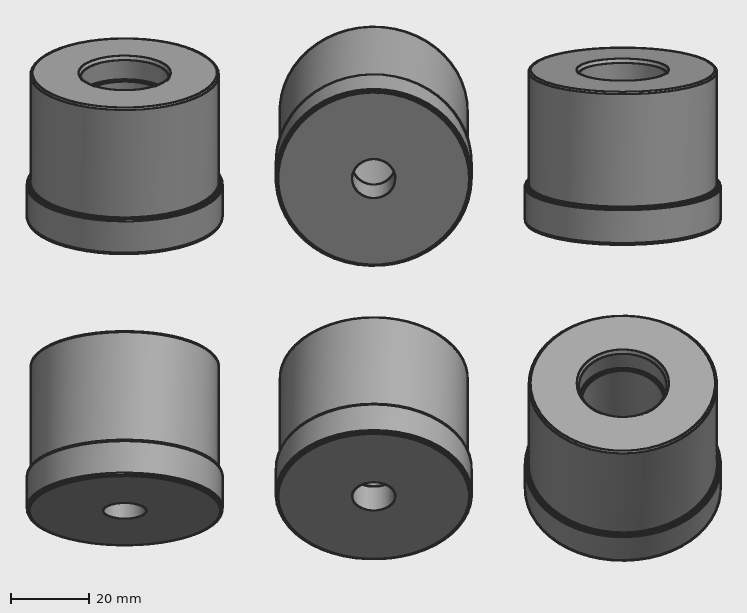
import cadquery as cq


flange_radius = 50.0 / 2
flange_height = 10.0
rim_bevel = 0.7
rim_break = 0.22

shank_radius = 48.0 / 2
total_height = 40.0
shank_chamfer = 0.5

mouth_rim_radius = 23.5 / 2
mouth_radius = 22.35 / 2
lead_in_height = 1.0
mouth_depth = 6.25

shoulder_break_radius = 22.0 / 2
steep_cone_height = 0.3
shallow_cone_height = 0.1

bore_radius = 21.0 / 2
floor_height = flange_height

hole_radius = 11.0 / 2
countersink_radius = 15.0 / 2
countersink_depth = countersink_radius - hole_radius


def revolve_outline(points):
    """Solid of revolution about Z from a closed (radius, height) outline."""
    return cq.Workplane("XZ").polyline(points).close().revolve(360, (0, 0), (0, 1))


def make_flange():
    return revolve_outline([
        (0, 0),
        (flange_radius - rim_bevel, 0),
        (flange_radius - rim_break, rim_break),
        (flange_radius, rim_bevel),
        (flange_radius, flange_height - rim_bevel),
        (flange_radius - rim_break, flange_height - rim_break),
        (flange_radius - rim_bevel, flange_height),
        (0, flange_height),
    ])


def make_shank():
    shank = cq.Workplane("XY").circle(shank_radius).extrude(total_height)
    return shank.faces(">Z").chamfer(shank_chamfer)


def make_bore():
    mouth_bottom = total_height - mouth_depth
    shoulder_break = mouth_bottom - steep_cone_height
    return revolve_outline([
        (0, 0),
        (hole_radius, 0),
        (hole_radius, floor_height - countersink_depth),
        (countersink_radius, floor_height),
        (bore_radius, floor_height),
        (bore_radius, shoulder_break - shallow_cone_height),
        (shoulder_break_radius, shoulder_break),
        (mouth_radius, mouth_bottom),
        (mouth_radius, total_height - lead_in_height),
        (mouth_rim_radius, total_height),
        (0, total_height),
    ])


result = make_flange().union(make_shank()).cut(make_bore())